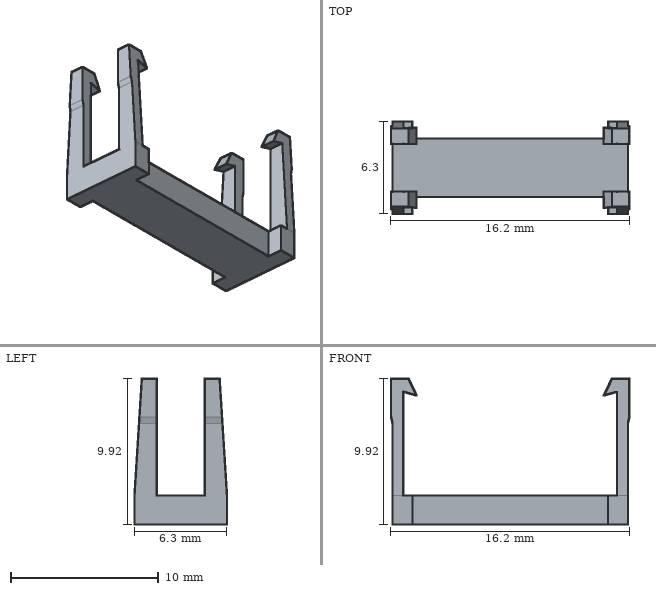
import cadquery as cq

BASE_LENGTH = 16.0
BASE_HEIGHT = 2.0
BAR_WIDTH = 4.0
END_BLOCK_LENGTH = 1.35
END_BLOCK_WIDTH = 6.3

TOTAL_HEIGHT = 9.92
ARM_THICKNESS = 0.75
ARM_GAP = 3.25
ARM_TOP_WIDTH = 5.3

LEDGE_OFFSET = 0.1
LEDGE_TOP_DROP = 2.62
LEDGE_BOTTOM_DROP = 3.03

HOOK_TOP_LENGTH = 1.2
HOOK_REACH = 1.75
HOOK_TIP_DROP = 1.15
HOOK_ROOT_DROP = 0.9

HALF_LENGTH = BASE_LENGTH / 2
ARM_OUTER_X = HALF_LENGTH + LEDGE_OFFSET
ARM_INNER_X = HALF_LENGTH - ARM_THICKNESS


def make_base():
    """Bar lying along X with an end block flush with each end."""
    on_floor = (True, True, False)
    base = cq.Workplane("XY").box(BASE_LENGTH, BAR_WIDTH, BASE_HEIGHT, centered=on_floor)
    block = cq.Workplane("XY").box(END_BLOCK_LENGTH, END_BLOCK_WIDTH, BASE_HEIGHT, centered=on_floor)
    block_x = HALF_LENGTH - END_BLOCK_LENGTH / 2
    for side in (-1, 1):
        base = base.union(block.translate((side * block_x, 0, 0)))
    return base


def make_arm_pair():
    """Two hooked arms at the -X end: the hook profile trimmed to the tapered side shape."""
    hook_profile = [
        (-HALF_LENGTH, 0),
        (-HALF_LENGTH, TOTAL_HEIGHT - LEDGE_BOTTOM_DROP),
        (-ARM_OUTER_X, TOTAL_HEIGHT - LEDGE_TOP_DROP),
        (-ARM_OUTER_X, TOTAL_HEIGHT),
        (-ARM_OUTER_X + HOOK_TOP_LENGTH, TOTAL_HEIGHT),
        (-ARM_OUTER_X + HOOK_REACH, TOTAL_HEIGHT - HOOK_TIP_DROP),
        (-ARM_INNER_X, TOTAL_HEIGHT - HOOK_ROOT_DROP),
        (-ARM_INNER_X, 0),
    ]
    taper_profile = [
        (-END_BLOCK_WIDTH / 2, 0),
        (END_BLOCK_WIDTH / 2, 0),
        (END_BLOCK_WIDTH / 2, BASE_HEIGHT),
        (ARM_TOP_WIDTH / 2, TOTAL_HEIGHT),
        (ARM_GAP / 2, TOTAL_HEIGHT),
        (ARM_GAP / 2, BASE_HEIGHT),
        (-ARM_GAP / 2, BASE_HEIGHT),
        (-ARM_GAP / 2, TOTAL_HEIGHT),
        (-ARM_TOP_WIDTH / 2, TOTAL_HEIGHT),
        (-END_BLOCK_WIDTH / 2, BASE_HEIGHT),
    ]
    hooks = cq.Workplane("XZ").polyline(hook_profile).close().extrude(END_BLOCK_WIDTH / 2, both=True)
    taper = cq.Workplane("YZ").polyline(taper_profile).close().extrude(ARM_OUTER_X, both=True)
    return hooks.intersect(taper)


left_arms = make_arm_pair()
right_arms = left_arms.mirror("YZ")
result = make_base().union(left_arms).union(right_arms).clean()